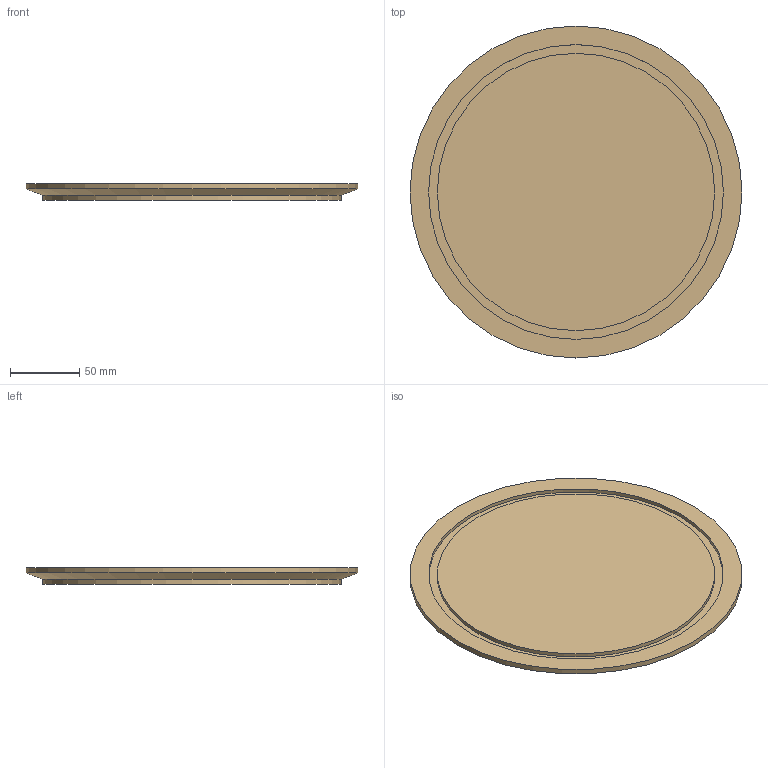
import cadquery as cq

rim_diameter = 240.03
foot_diameter = 215.9
groove_outer_diameter = 213.21
groove_inner_diameter = 200.51

total_height = 11.99
rim_height = 3.81
foot_height = 3.81
groove_depth = 2.79

rim_bottom = total_height - rim_height
groove_floor = total_height - groove_depth


def make_plate():
    """Revolve the half section of foot, cone and rim about Z, resting on Z = 0."""
    rim_radius = rim_diameter / 2
    foot_radius = foot_diameter / 2
    half_section = (
        cq.Workplane("XZ")
        .lineTo(foot_radius, 0)
        .lineTo(foot_radius, foot_height)
        .lineTo(rim_radius, rim_bottom)
        .lineTo(rim_radius, total_height)
        .lineTo(0, total_height)
        .close()
    )
    return half_section.revolve(360, (0, 0, 0), (0, 1, 0))


def make_groove():
    """Ring removed from the top face."""
    return (
        cq.Workplane("XY", origin=(0, 0, groove_floor))
        .circle(groove_outer_diameter / 2)
        .circle(groove_inner_diameter / 2)
        .extrude(groove_depth)
    )


result = make_plate().cut(make_groove())